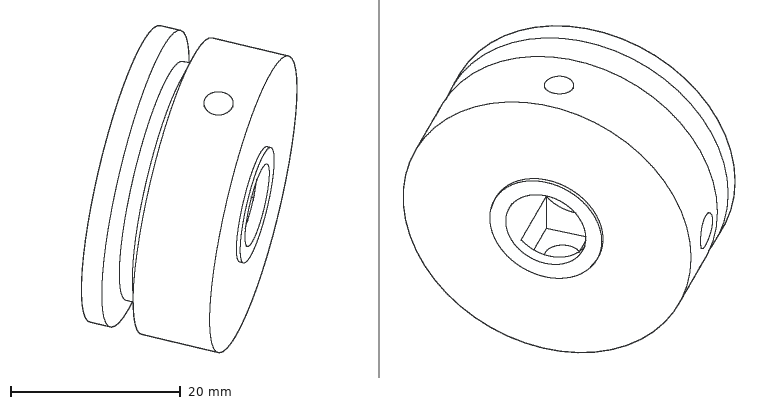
import cadquery as cq

outer_diameter = 36.0
total_width = 16.27
hub_projection = 0.45
hub_diameter = 14.0
bore_diameter = 10.0

flange_width = 2.52
groove_floor_diameter = 29.0
groove_side_width = 1.1
groove_floor_width = 1.62

small_hole_diameter = 3.45
small_hole_x = 11.52
small_hole_turn = 0
large_hole_diameter = 4.32
large_hole_x = 10.25
large_hole_turns = (180, -90)

pocket_length = 9.0
pocket_width = 7.2
pocket_reach = 8.2

outer_radius = outer_diameter / 2
hub_radius = hub_diameter / 2
groove_floor_radius = groove_floor_diameter / 2
body_width = total_width - hub_projection
floor_start = flange_width + groove_side_width
floor_end = floor_start + groove_floor_width
groove_end = floor_end + groove_side_width


def pulley_body():
    """Turned solid made by revolving the half profile about X."""
    return (
        cq.Workplane("XY")
        .moveTo(0, 0)
        .lineTo(0, outer_radius)
        .lineTo(flange_width, outer_radius)
        .lineTo(floor_start, groove_floor_radius)
        .lineTo(floor_end, groove_floor_radius)
        .lineTo(groove_end, outer_radius)
        .lineTo(body_width, outer_radius)
        .lineTo(body_width, hub_radius)
        .lineTo(total_width, hub_radius)
        .lineTo(total_width, 0)
        .close()
        .revolve(360, (0, 0, 0), (1, 0, 0))
    )


def bore():
    """Through hole along the pulley axis."""
    return cq.Workplane("YZ").circle(bore_diameter / 2).extrude(total_width)


def radial_hole(diameter, x, turn):
    """Cutter from the axis out past the rim, pointing up and then turned about the axis by degrees."""
    return (
        cq.Workplane("XY")
        .center(x, 0)
        .circle(diameter / 2)
        .extrude(outer_diameter)
        .rotate((0, 0, 0), (1, 0, 0), turn)
    )


def hole_pocket(turn):
    """Box cutter from the axis to the pocket floor, centred on a large hole and turned with it."""
    return (
        cq.Workplane("XY")
        .center(large_hole_x, 0)
        .rect(pocket_length, pocket_width)
        .extrude(pocket_reach)
        .rotate((0, 0, 0), (1, 0, 0), turn)
    )


result = pulley_body().cut(bore())
result = result.cut(radial_hole(small_hole_diameter, small_hole_x, small_hole_turn))
for turn in large_hole_turns:
    result = result.cut(radial_hole(large_hole_diameter, large_hole_x, turn))
    result = result.cut(hole_pocket(turn))